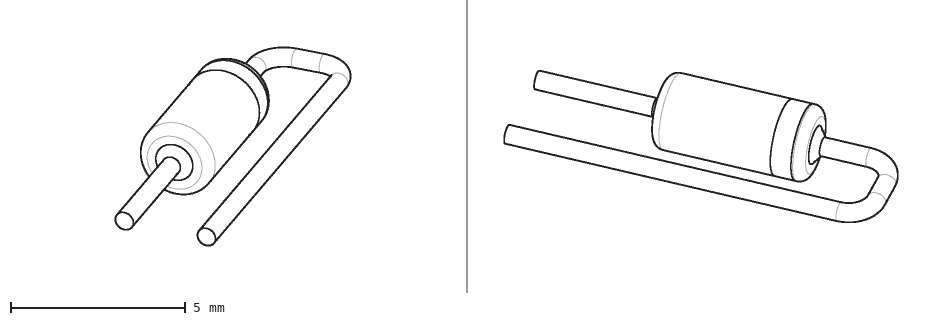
import cadquery as cq


lead_radius = 0.28
overall_width = 3.96
overall_length = 11.21
bend_radius = 0.84
body_diameter = 2.28
body_start = 3.81
body_length = 4.65
end_fillet = 0.29
bead_base_radius = 0.57
bead_height = 0.22
band_offset = 0.34
band_width = 0.63
band_thickness = 0.06

body_radius = body_diameter / 2
lead_pitch = overall_width - body_radius - lead_radius

body_end = body_start + body_length
near_bead_tip = body_start - bead_height
far_bead_tip = body_end + bead_height
band_end = body_end - band_offset
band_start = band_end - band_width
bridge_y = overall_length - lead_radius
bend_start = bridge_y - bend_radius


def cylinder_along_y(radius, start, end):
    """Solid cylinder centred on the Y axis."""
    profile = cq.Workplane("XZ", origin=(0, start, 0)).circle(radius)
    return profile.extrude(start - end)


def make_band():
    """Cathode marking ring, flush with the outside of the glass."""
    outer = cylinder_along_y(body_radius, band_start, band_end)
    inner = cylinder_along_y(body_radius - band_thickness, band_start, band_end)
    return outer.cut(inner).solids()


def make_glass_body():
    """Round-ended glass barrel with conical beads and a groove for the band."""
    barrel = cylinder_along_y(body_radius, body_start, body_end)
    barrel = barrel.edges("%CIRCLE").fillet(end_fillet)
    beads = (
        cq.Workplane("XY")
        .moveTo(0, near_bead_tip)
        .lineTo(lead_radius, near_bead_tip)
        .lineTo(bead_base_radius, body_start)
        .lineTo(bead_base_radius, body_end)
        .lineTo(lead_radius, far_bead_tip)
        .lineTo(0, far_bead_tip)
        .close()
        .revolve(360, (0, 0, 0), (0, 1, 0))
    )
    return barrel.union(beads).cut(make_band()).solids()


def make_straight_lead():
    """Anode lead, ending against the near bead."""
    return cylinder_along_y(lead_radius, 0, near_bead_tip)


def make_bent_lead():
    """Cathode lead, folded back beside the body through two right-angle bends."""
    path = (
        cq.Workplane("XY")
        .moveTo(0, far_bead_tip)
        .lineTo(0, bend_start)
        .radiusArc((bend_radius, bridge_y), bend_radius)
        .lineTo(lead_pitch - bend_radius, bridge_y)
        .radiusArc((lead_pitch, bend_start), bend_radius)
        .lineTo(lead_pitch, 0)
    )
    section = cq.Workplane("XZ", origin=(0, far_bead_tip, 0)).circle(lead_radius)
    return section.sweep(path)


glass_body = make_glass_body()
cathode_band = make_band()
anode_lead = make_straight_lead()
cathode_lead = make_bent_lead()

result = cq.Compound.makeCompound([
    glass_body.val(),
    cathode_band.val(),
    anode_lead.val(),
    cathode_lead.val(),
])